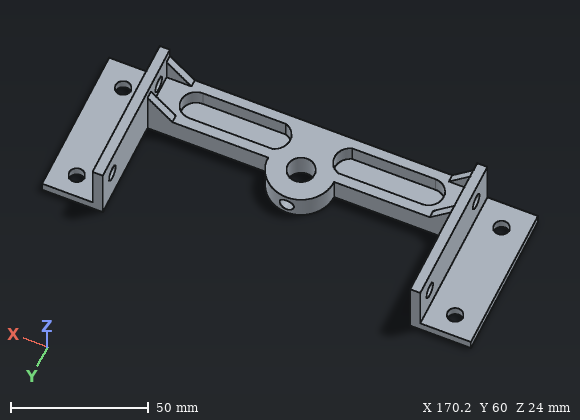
import cadquery as cq

length = 170.2
depth = 60.0
height = 24.0

thickness = 4.0
plate_width = 20.0
bar_depth = 20.0
bar_height = 10.0
wall_outer_x = length / 2 - plate_width
wall_inner_x = wall_outer_x - thickness

gusset_thickness = 3.0
gusset_size = 9.9

boss_radius = 13.1
bore_diameter = 10.5
set_screw_diameter = 5.6

pocket_length = 43.2
pocket_width = 11.9
pocket_x = 30.5
pocket_inner_bulge = 4.3
pocket_floor = 3.0

hole_diameter = 6.0
front_hole_y = 10.0
rear_hole_y = 51.5
front_wall_hole_z = 15.0
rear_wall_hole_z = 14.0


def box(x_start, y_start, size_x, size_y, size_z):
    """Block standing on the base plane, placed by its lowest corner."""
    return cq.Workplane("XY").box(size_x, size_y, size_z, centered=False).translate((x_start, y_start, 0))


def gusset(side, y_start):
    """Sloped rib rising from the crossbar to the inner face of a wall."""
    inner_x = side * wall_inner_x
    return (
        cq.Workplane("XZ", origin=(0, y_start + gusset_thickness, 0))
        .moveTo(inner_x - side * gusset_size, bar_height)
        .lineTo(inner_x, bar_height + gusset_size)
        .lineTo(side * wall_outer_x, bar_height + gusset_size)
        .lineTo(side * wall_outer_x, 0)
        .lineTo(inner_x - side * gusset_size, 0)
        .close()
        .extrude(gusset_thickness)
    )


def pocket(side):
    """Elongated pocket with a semicircular outer end and a flatter arc at the end near the boss."""
    half_width = pocket_width / 2
    inner_end = side * (pocket_x - pocket_length / 2)
    outer_end = side * (pocket_x + pocket_length / 2)
    inner_straight = inner_end + side * pocket_inner_bulge
    outer_straight = outer_end - side * half_width
    return (
        cq.Workplane("XY", origin=(0, bar_depth / 2, pocket_floor))
        .moveTo(inner_straight, -half_width)
        .lineTo(outer_straight, -half_width)
        .threePointArc((outer_end, 0), (outer_straight, half_width))
        .lineTo(inner_straight, half_width)
        .threePointArc((inner_end, 0), (inner_straight, -half_width))
        .close()
        .extrude(height)
    )


body = box(-wall_outer_x, 0, 2 * wall_outer_x, bar_depth, bar_height)
boss = cq.Workplane("XY").center(0, bar_depth).circle(boss_radius).extrude(bar_height)
body = body.union(boss)

for side in (-1, 1):
    plate_center_x = side * (wall_outer_x + length / 2) / 2
    wall_center_x = side * (wall_outer_x + wall_inner_x) / 2
    body = body.union(box(plate_center_x - plate_width / 2, 0, plate_width, depth, thickness))
    body = body.union(box(wall_center_x - thickness / 2, 0, thickness, depth, height))
    for y_start in (0, bar_depth - gusset_thickness):
        body = body.union(gusset(side, y_start))

for side in (-1, 1):
    body = body.cut(pocket(side))

bore = cq.Workplane("XY").center(0, bar_depth).circle(bore_diameter / 2).extrude(bar_height)
set_screw_hole = (
    cq.Workplane("XZ", origin=(0, bar_depth, bar_height / 2))
    .circle(set_screw_diameter / 2)
    .extrude(-2 * boss_radius)
)
body = body.cut(bore).cut(set_screw_hole)

plate_hole_x = length / 2 - plate_width / 2
plate_holes = (
    cq.Workplane("XY")
    .pushPoints([(side * plate_hole_x, y) for side in (-1, 1) for y in (front_hole_y, rear_hole_y)])
    .circle(hole_diameter / 2)
    .extrude(thickness)
)
body = body.cut(plate_holes)

wall_holes = (
    cq.Workplane("YZ", origin=(-length / 2, 0, 0))
    .pushPoints([(front_hole_y, front_wall_hole_z), (rear_hole_y, rear_wall_hole_z)])
    .circle(hole_diameter / 2)
    .extrude(length)
)
result = body.cut(wall_holes)